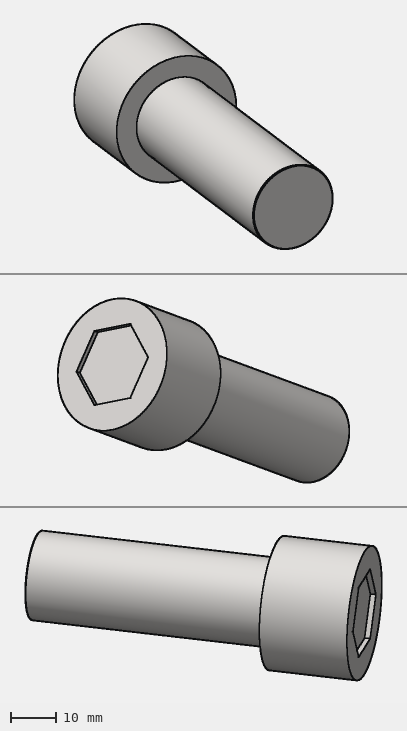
import cadquery as cq
import math

total_length = 75.0
shank_diameter = 20.0
head_diameter = 30.0
head_length = shank_diameter
tip_chamfer = 0.2
socket_across_flats = 17.0
socket_depth = 1.3


def make_head():
    return cq.Workplane("YZ").circle(head_diameter / 2).extrude(head_length)


def make_shank():
    shank = (
        cq.Workplane("YZ", origin=(head_length, 0, 0))
        .circle(shank_diameter / 2)
        .extrude(total_length - head_length)
    )
    return shank.faces(">X").chamfer(tip_chamfer)


def make_socket():
    across_corners = socket_across_flats / math.cos(math.pi / 6)
    return cq.Workplane("YZ").polygon(6, across_corners).extrude(socket_depth)


result = make_head().union(make_shank()).cut(make_socket())